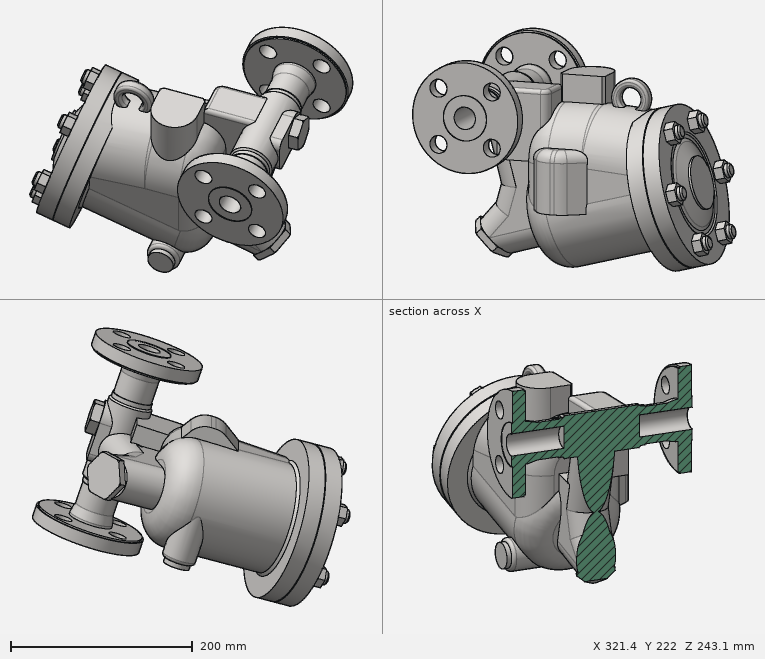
import cadquery as cq
import math


body_y = -7.0
tilt = 15.0
cover_x, cover_z = -225.3, -79.5

flange_d = 180.0
cover_thickness = 20.0
flange_thickness = 20.0
flange_back = cover_thickness + flange_thickness
joint_gap = 0.5

nose_d = 60.0
nose_height = 10.0
plate_thickness = 2.5
dish_d = 117.5
dish_depth = 1.3
dish_bevel = 2.2
cone_base_d = 100.0
cone_foot = 2.0

bolt_count = 6
bolt_circle_d = 146.2
stud_d = 16.0
stud_height = 16.7
nut_flats = 22.0
nut_height = 11.0
stud_chamfer = 2.0
stud_boss_d = 25.7
stud_boss_height = 12.0

body_r = 62.7
arch_r = 62.0
body_end = 186.5
body_rounding = 32.0
neck_fillet = 3.2

outlet_x = -95.5
outlet_r = 26.5
outlet_arc_y = -29.0
outlet_back_y = -1.3
outlet_top = 35.0
outlet_corner = 3.2

lug_x, lug_z = -151.7, 12.0
lug_d, lug_hole_d = 44.0, 25.0
lug_thickness = 13.8
lug_rounding = 3.2

drain_x, drain_z = -94.2, -159.5
drain_d, drain_face_d = 38.0, 30.0
drain_shoulder_y = -71.7
drain_face_y = -77.5
drain_rounding = 4.2

pipe_length = 222.0
pipe_half_length = pipe_length / 2
pipe_flange_d = 124.0
pipe_flange_thickness = 16.7
pipe_rim_step = 2.0
raised_face_d = 50.8
raised_face_height = 1.0
bore_d = 25.0
bore_depth = 64.3
pipe_d = 44.0
pipe_neck_d = 49.5
tee_d = 50.0
tee_half_length = 45.5
weld_collar_d = 46.0
weld_collar_end = 53.0
neck_start, neck_end = 79.0, 90.5
pipe_bolt_circle_d = 89.0
pipe_bolt_hole_d = 20.0
pipe_bolt_count = 4

bulge_r = 24.0
bulge_z = (-109.3, -38.5)
bulge_rounding = 13.0
bulge_outline = [(-125.5, 53.0), (-97.7, 71.7), (-72.3, 71.7), (-46.5, 32.0), (-96.5, 0)]

strainer_r = 24.0
web_top_inner, web_top_outer = (-64.3, -53.0), (-16.7, -62.0)
plug_chamfer = 1.3
strainer_plug_d = 54.3
strainer_plug_height = 8.7

bridge_x = (-70.7, -10.0)
bridge_y = (-7.0, 37.5)
bridge_z = (-58.0, 22.8)
bridge_rounding = 9.5

pad_x = 27.0
pad_r = 21.5
pad_tail_y = -27.0
pad_corner = 9.3
pad_plug_y = 18.5
pad_plug_d = 40.0
pad_plug_end = 38.2

slope = math.radians(tilt)
body_plane = cq.Plane(
    origin=(cover_x, body_y, cover_z),
    xDir=(math.cos(slope), 0, -math.sin(slope)),
    normal=(0, -1, 0),
)
pipe_plane = cq.Plane(origin=(0, 0, 0), xDir=(0, 1, 0), normal=(1, 0, 0))
side_plane = cq.Plane(origin=(0, body_y, 0), xDir=(1, 0, 0), normal=(0, -1, 0))


def body_point(along, up):
    """X and Z of a point given in the body frame."""
    return (
        cover_x + along * math.cos(slope) + up * math.sin(slope),
        cover_z - along * math.sin(slope) + up * math.cos(slope),
    )


def turned(plane, outline):
    """Solid of revolution about the plane's local x axis."""
    return cq.Workplane(plane).polyline(outline).close().revolve(360, (0, 0), (1, 0))


def axis_plane(start, end):
    """Plane on the body's middle, at an X-Z point, facing along start -> end."""
    return cq.Plane(
        origin=(start[0], body_y, start[1]),
        xDir=(0, 1, 0),
        normal=(end[0] - start[0], 0, end[1] - start[1]),
    )


def rod(start, end, radius):
    """Round bar in the body's middle plane between two X-Z points."""
    return cq.Workplane(axis_plane(start, end)).circle(radius).extrude(math.dist(start, end))


def ball(centre, radius):
    plane = cq.Plane(origin=(centre[0], body_y, centre[1]), xDir=(0, 1, 0), normal=(0, 0, 1))
    return cq.Workplane(plane).sphere(radius)


def web(points, half_thickness):
    """Flat plate in the body's middle plane."""
    return cq.Workplane(side_plane).polyline(points).close().extrude(half_thickness, both=True)


def bar_y(x, z, diameter, y_start, y_end):
    """Round bar along Y."""
    plane = cq.Plane(origin=(x, y_start, z), xDir=(1, 0, 0), normal=(0, 1, 0))
    return cq.Workplane(plane).circle(diameter / 2).extrude(y_end - y_start)


def cover_and_flange():
    flange_r = flange_d / 2
    nose_r = nose_d / 2
    cone_top = -nose_height + plate_thickness
    cone_r = cone_base_d / 2
    gap_start = cover_thickness - joint_gap / 2
    gap_end = cover_thickness + joint_gap / 2
    return turned(body_plane, [
        (-nose_height, 0),
        (-nose_height, nose_r),
        (cone_top, nose_r),
        (dish_depth - cone_foot, cone_r - cone_foot),
        (dish_depth, cone_r + cone_foot),
        (dish_depth, dish_d / 2 - dish_bevel),
        (0, dish_d / 2),
        (0, flange_r),
        (gap_start, flange_r),
        (gap_start, flange_r - joint_gap),
        (gap_end, flange_r - joint_gap),
        (gap_end, flange_r),
        (flange_back, flange_r),
        (flange_back, body_r + neck_fillet),
        (flange_back + neck_fillet, body_r),
        (flange_back + neck_fillet, 0),
    ])


def bolt_plane(angle, along):
    """Plane facing out of the cover at one bolt position."""
    up = bolt_circle_d / 2 * math.sin(angle)
    x, z = body_point(along, up)
    return cq.Plane(
        origin=(x, body_y + bolt_circle_d / 2 * math.cos(angle), z),
        xDir=(0, 1, 0),
        normal=(-math.cos(slope), 0, math.sin(slope)),
    )


def nut_and_stud(angle):
    seat = bolt_plane(angle, dish_depth)
    corners_d = nut_flats / math.cos(math.pi / 6)
    nut = cq.Workplane(seat).transformed(rotate=(0, 0, 90))
    nut = nut.polygon(6, corners_d).extrude(nut_height + dish_depth)
    stud = cq.Workplane(seat).circle(stud_d / 2).extrude(stud_height + dish_depth)
    return nut.union(stud.faces(cq.DirectionMinMaxSelector(seat.zDir, True)).chamfer(stud_chamfer))


def stud_boss(angle):
    """Rounded boss for the stud end behind the flange."""
    plane = bolt_plane(angle, flange_back + stud_boss_height)
    boss = cq.Workplane(plane).circle(stud_boss_d / 2).extrude(stud_boss_height + neck_fillet)
    return boss.faces(cq.DirectionMinMaxSelector(plane.zDir, False)).fillet(neck_fillet)


def barrel():
    """Lower, sloping cylinder with a rounded rear end."""
    outline = (
        cq.Workplane(body_plane)
        .moveTo(flange_back - neck_fillet, 0)
        .lineTo(flange_back - neck_fillet, body_r)
        .lineTo(body_end - body_rounding, body_r)
        .radiusArc((body_end, body_r - body_rounding), body_rounding)
        .lineTo(body_end, 0)
        .close()
    )
    return outline.revolve(360, (0, 0), (1, 0))


arch_rise = 26.7
arch_start = body_point(flange_back - neck_fillet, arch_rise)
arch_bend = (-115.7, -58.0)
arch_end_x = -43.7
arch_foot_z = -115.7


def upper_body():
    """Arched top above the barrel: a sloping front run and a level, round-ended rear run."""
    bend_x, bend_z = arch_bend
    section = cq.Plane(origin=(bend_x, body_y, bend_z), xDir=(0, 1, 0), normal=(1, 0, 0))
    rear = (
        cq.Workplane(section)
        .moveTo(-arch_r, arch_foot_z - bend_z)
        .lineTo(-arch_r, 0)
        .threePointArc((0, arch_r), (arch_r, 0))
        .lineTo(arch_r, arch_foot_z - bend_z)
        .close()
        .extrude(arch_end_x - bend_x)
    )
    rear = rear.faces(">X").edges("not <Z").fillet(body_rounding)
    sides = web([
        arch_start,
        arch_bend,
        (bend_x, arch_foot_z),
        body_point(flange_back - neck_fillet, 0),
    ], arch_r)
    front = rod(arch_start, arch_bend, arch_r).union(sides)
    return front.union(ball(arch_bend, arch_r)).union(rear)


def rear_bulge():
    """Rounded swelling on the +Y side of the body."""
    plan = cq.Workplane("XY").workplane(offset=bulge_z[0]).polyline(bulge_outline).close()
    swelling = plan.extrude(bulge_z[1] - bulge_z[0])
    swelling = swelling.faces(">Y").edges("|Z").fillet(bulge_r)
    return swelling.faces(">Z").edges(">Y").fillet(bulge_rounding)


def outlet_boss():
    """Vertical boss, round at the front and flat at the back."""
    boss = (
        cq.Workplane("XY")
        .workplane(offset=cover_z)
        .moveTo(outlet_x - outlet_r, outlet_back_y)
        .lineTo(outlet_x - outlet_r, outlet_arc_y)
        .threePointArc((outlet_x, outlet_arc_y - outlet_r), (outlet_x + outlet_r, outlet_arc_y))
        .lineTo(outlet_x + outlet_r, outlet_back_y)
        .close()
        .extrude(outlet_top - cover_z)
    )
    return boss.faces(">Y").edges("|Z").chamfer(outlet_corner)


def lifting_lug():
    plane = cq.Plane(origin=(lug_x, body_y, lug_z), xDir=(1, 0, 0), normal=(0, -1, 0))
    ring = cq.Workplane(plane).circle(lug_d / 2).extrude(lug_thickness / 2, both=True)
    hole = cq.Workplane(plane).circle(lug_hole_d / 2).extrude(lug_thickness, both=True)
    return ring.cut(hole).faces("<Y or >Y").edges().fillet(lug_rounding)


def drain_boss():
    shoulder = bar_y(drain_x, drain_z, drain_d, drain_shoulder_y, body_y)
    shoulder = shoulder.faces("<Y").edges().fillet(drain_rounding)
    return shoulder.union(bar_y(drain_x, drain_z, drain_face_d, drain_face_y, body_y))


strainer_path = [(-3.2, -9.5), (-24.7, -92.2), (-15.5, -125.0), (7.5, -151.0)]
strainer_bottom = body_point(body_end - body_rounding, -7.0)


def hex_plug(seat, corners_d, height):
    """Hexagon with its outer corners turned off."""
    plug = cq.Workplane(seat).transformed(rotate=(0, 0, 90)).polygon(6, corners_d).extrude(height)
    crown = cq.Workplane(seat).circle(corners_d / 2).extrude(height)
    crown = crown.faces(cq.DirectionMinMaxSelector(seat.zDir, True)).chamfer(plug_chamfer)
    return plug.intersect(crown)


def strainer():
    """Bent leg from the tee, lower arm from the body, and the flat web between them."""
    solid = rod(strainer_bottom, strainer_path[-1], strainer_r)
    for start, end in zip(strainer_path, strainer_path[1:]):
        solid = solid.union(rod(start, end, strainer_r))
    for bend in strainer_path[1:-1]:
        solid = solid.union(ball(bend, strainer_r))
    web_outline = [web_top_inner, web_top_outer] + strainer_path[1:] + [strainer_bottom]
    solid = solid.union(web(web_outline, strainer_r))
    end_x, end_z = strainer_path[-1]
    seat = cq.Plane(origin=(end_x, body_y, end_z), xDir=(0, 1, 0), normal=(1, 0, -1))
    solid = solid.cut(cq.Workplane(seat).rect(4 * strainer_r, 4 * strainer_r).extrude(2 * strainer_r))
    return solid.union(hex_plug(seat, strainer_plug_d, strainer_plug_height))


def pipe_half(side):
    """One half of the straight pipe; side is +1 or -1 along Y."""
    rim_front = pipe_half_length - raised_face_height
    rim_back = rim_front - pipe_flange_thickness
    flange_r = pipe_flange_d / 2
    outline = [
        (0, 0),
        (0, tee_d / 2),
        (tee_half_length, tee_d / 2),
        (tee_half_length + (tee_d - weld_collar_d) / 2, weld_collar_d / 2),
        (weld_collar_end, weld_collar_d / 2),
        (weld_collar_end, pipe_d / 2),
        (neck_start, pipe_d / 2),
        (neck_end, pipe_neck_d / 2),
        (rim_back, pipe_neck_d / 2),
        (rim_back, flange_r - pipe_rim_step),
        (rim_back + pipe_rim_step, flange_r - pipe_rim_step),
        (rim_back + pipe_rim_step, flange_r),
        (rim_front, flange_r),
        (rim_front, raised_face_d / 2),
        (pipe_half_length, raised_face_d / 2),
        (pipe_half_length, 0),
    ]
    return turned(pipe_plane, [(side * along, radius) for along, radius in outline])


def pipe_holes():
    """Blind bores from both ends of the pipe and the bolt holes of both end flanges."""
    holes = bar_y(0, 0, bore_d, -pipe_half_length, bore_depth - pipe_half_length)
    holes = holes.union(bar_y(0, 0, bore_d, pipe_half_length - bore_depth, pipe_half_length))
    hole_length = 2 * pipe_flange_thickness
    for index in range(pipe_bolt_count):
        angle = 2 * math.pi * (index + 0.5) / pipe_bolt_count
        x = pipe_bolt_circle_d / 2 * math.cos(angle)
        z = pipe_bolt_circle_d / 2 * math.sin(angle)
        for start in (-pipe_half_length, pipe_half_length - hole_length):
            holes = holes.union(bar_y(x, z, pipe_bolt_hole_d, start, start + hole_length))
    return holes


def bridge():
    """Block joining the body to the tee."""
    block = cq.Workplane("XY").box(
        bridge_x[1] - bridge_x[0],
        bridge_y[1] - bridge_y[0],
        bridge_z[1] - bridge_z[0],
        centered=False,
    ).translate((bridge_x[0], bridge_y[0], bridge_z[0]))
    block = block.edges("<X and >Y").fillet(bridge_rounding)
    return block.faces(">Z").edges("not >X").fillet(bridge_rounding / 2)


def plug_pad():
    """Pad on the far side of the tee: a disc around the plug with a square tail, plus the plug."""
    seat = cq.Plane(origin=(pad_x, pad_plug_y, 0), xDir=(0, 1, 0), normal=(1, 0, 0))
    disc = cq.Workplane(seat).circle(pad_r).extrude(-pad_x)
    tail_length = pad_plug_y - pad_tail_y
    tail = cq.Workplane(seat).center(-tail_length / 2, 0).rect(tail_length, 2 * pad_r).extrude(-pad_x)
    tail = tail.faces("<Y").edges("|X").fillet(pad_corner)
    return disc.union(tail).union(hex_plug(seat, pad_plug_d, pad_plug_end - pad_x))


result = cover_and_flange()
for index in range(bolt_count):
    result = result.union(nut_and_stud(2 * math.pi * index / bolt_count))
for angle in (math.pi / 3, 2 * math.pi / 3):
    result = result.union(stud_boss(angle))
for feature in (
    barrel(),
    upper_body(),
    rear_bulge(),
    outlet_boss(),
    lifting_lug(),
    drain_boss(),
    strainer(),
    bridge(),
    pipe_half(1),
    pipe_half(-1),
    plug_pad(),
):
    result = result.union(feature)
result = result.cut(pipe_holes())